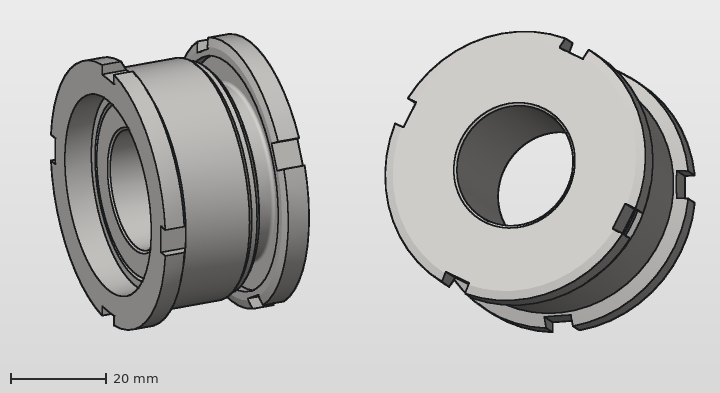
import cadquery as cq

TOTAL_LENGTH = 33.85

FLANGE_RADIUS = 28.8
FLANGE_RIM_END = 4.4
FLANGE_END = 6.0
BARREL_RADIUS = 25.95
BARREL_END = 20.8
NOSE_RADIUS = 25.0
NOSE_CHAMFER = 1.0
HOUSING_LENGTH = 24.0
SOCKET_RADIUS = 21.6
SOCKET_DEPTH = 6.15
LIP_RADIUS = 18.95
LIP_MOUTH_RADIUS = 19.75
LIP_THICKNESS = 1.75

SPIGOT_RADIUS = 18.9
COLLAR_RADIUS = 19.95
COLLAR_RIM_END = 25.2
COLLAR_CHAMFER = 1.0
NECK_RADIUS = 18.9
NECK_START = 26.6
REAR_FLANGE_RADIUS = 28.95
REAR_FLANGE_THICKNESS = 6.0
REAR_CHAMFER_HEIGHT = 1.9
REAR_CHAMFER_DEPTH = 0.6
RECESS_RADIUS = 25.2
RECESS_DEPTH = 1.95
NECK_FILLET = 0.75
BORE_RADIUS = 12.9
BORE_CHAMFER_HEIGHT = 0.6
BORE_CHAMFER_DEPTH = 0.35

SLOT_COUNT = 4
SLOT_WIDTH = 5.9
SLOT_FLOOR = 26.5
REAR_SLOT_ANGLE = -28.5
SLOT_OVERSHOOT = 2.9


def revolve_profile(points):
    """Turn a closed (radius, Y) outline about the Y axis."""
    return cq.Workplane("XY").polyline(points).close().revolve(360, (0, 0, 0), (0, 1, 0))


def cut_slots(body, start, end, first_angle):
    """Cut equally spaced flat-bottomed slots into a flange between two Y positions."""
    height = REAR_FLANGE_RADIUS + SLOT_OVERSHOOT - SLOT_FLOOR
    slot = (
        cq.Workplane("XY")
        .box(SLOT_WIDTH, end - start, height, centered=(True, False, False))
        .translate((0, start, SLOT_FLOOR))
    )
    for index in range(SLOT_COUNT):
        angle = first_angle + index * 360 / SLOT_COUNT
        body = body.cut(slot.rotate((0, 0, 0), (0, 1, 0), angle))
    return body


def make_housing():
    """Flanged barrel with a front socket, a chamfered lip and a rear bore for the sleeve."""
    lip_end = SOCKET_DEPTH + LIP_THICKNESS
    body = revolve_profile([
        (SOCKET_RADIUS, 0),
        (FLANGE_RADIUS, 0),
        (FLANGE_RADIUS, FLANGE_RIM_END),
        (BARREL_RADIUS, FLANGE_END),
        (BARREL_RADIUS, BARREL_END),
        (NOSE_RADIUS, BARREL_END + BARREL_RADIUS - NOSE_RADIUS),
        (NOSE_RADIUS, HOUSING_LENGTH - NOSE_CHAMFER),
        (NOSE_RADIUS - NOSE_CHAMFER, HOUSING_LENGTH),
        (COLLAR_RADIUS, HOUSING_LENGTH),
        (COLLAR_RADIUS, lip_end),
        (LIP_RADIUS, lip_end),
        (LIP_RADIUS, SOCKET_DEPTH + LIP_MOUTH_RADIUS - LIP_RADIUS),
        (LIP_MOUTH_RADIUS, SOCKET_DEPTH),
        (SOCKET_RADIUS, SOCKET_DEPTH),
    ])
    return cut_slots(body, 0, FLANGE_END, 0)


def make_sleeve():
    """Bored sleeve that seats against the housing lip, with a slotted flange at the rear."""
    front = SOCKET_DEPTH
    shoulder = front + LIP_THICKNESS
    flange_start = TOTAL_LENGTH - REAR_FLANGE_THICKNESS
    flange_face_radius = REAR_FLANGE_RADIUS - REAR_CHAMFER_HEIGHT
    bore_mouth_radius = BORE_RADIUS + BORE_CHAMFER_HEIGHT
    recess_floor = flange_start + RECESS_DEPTH
    body = revolve_profile([
        (bore_mouth_radius, front),
        (SPIGOT_RADIUS, front),
        (SPIGOT_RADIUS, shoulder),
        (COLLAR_RADIUS, shoulder),
        (COLLAR_RADIUS, COLLAR_RIM_END),
        (COLLAR_RADIUS - COLLAR_CHAMFER, COLLAR_RIM_END + COLLAR_CHAMFER),
        (NECK_RADIUS, NECK_START),
        (NECK_RADIUS, recess_floor),
        (RECESS_RADIUS, recess_floor),
        (RECESS_RADIUS, flange_start),
        (flange_face_radius, flange_start),
        (REAR_FLANGE_RADIUS, flange_start + REAR_CHAMFER_DEPTH),
        (REAR_FLANGE_RADIUS, TOTAL_LENGTH - REAR_CHAMFER_DEPTH),
        (flange_face_radius, TOTAL_LENGTH),
        (bore_mouth_radius, TOTAL_LENGTH),
        (BORE_RADIUS, TOTAL_LENGTH - BORE_CHAMFER_DEPTH),
        (BORE_RADIUS, front + BORE_CHAMFER_DEPTH),
    ])
    reach = NECK_RADIUS + NECK_FILLET
    neck_root = cq.selectors.BoxSelector(
        (-reach, recess_floor - NECK_FILLET, -reach),
        (reach, recess_floor + NECK_FILLET, reach),
        boundingbox=True,
    )
    body = body.edges("%CIRCLE").edges(neck_root).fillet(NECK_FILLET)
    return cut_slots(body, flange_start, TOTAL_LENGTH, REAR_SLOT_ANGLE)


housing = make_housing()
sleeve = make_sleeve()

result = cq.Compound.makeCompound([housing.val(), sleeve.val()])